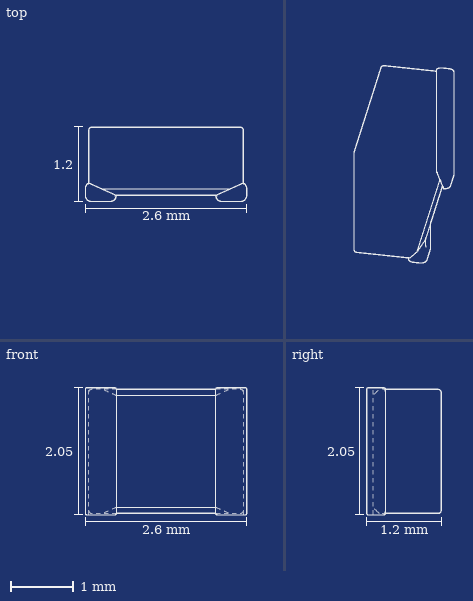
import cadquery as cq
import math


overall_length = 2.6
overall_depth = 1.2
overall_height = 2.05

side_step = 0.055
end_step = 0.025
standoff = 0.1
body_length = overall_length - 2 * side_step
body_depth = overall_depth - standoff
body_height = overall_height - 2 * end_step
front_chamfer = 0.1
body_edge_radius = 0.05

terminal_width = 0.5
terminal_depth = 0.3
terminal_corner_radius = 0.1
terminal_edge_radius = end_step
shoulder_rise = math.sqrt(terminal_corner_radius**2 - (terminal_corner_radius - side_step) ** 2)
shoulder_start = terminal_depth - shoulder_rise


def make_body_block():
    """Block with chamfered front edges and rounded back and side edges."""
    block = cq.Workplane("XY").box(body_length, body_depth, body_height)
    block = block.translate((0, standoff + body_depth / 2, 0))
    block = block.faces("<Y").edges("|X").chamfer(front_chamfer)
    return block.edges("|Y or >Y").fillet(body_edge_radius)


def make_terminal(side):
    """Wedge-shaped bar along Z; side is -1 for the -X end and +1 for the +X end."""
    outer_x = -overall_length / 2
    inner_x = outer_x + terminal_width
    body_side_x = outer_x + side_step
    radius = terminal_corner_radius
    profile = (
        cq.Workplane("XY", origin=(0, 0, -overall_height / 2))
        .moveTo(outer_x + radius, 0)
        .lineTo(inner_x - radius, 0)
        .tangentArcPoint((inner_x, radius), relative=False)
        .lineTo(body_side_x, terminal_depth)
        .radiusArc((outer_x, shoulder_start), -radius)
        .lineTo(outer_x, radius)
        .tangentArcPoint((outer_x + radius, 0), relative=False)
        .close()
    )
    terminal = profile.extrude(overall_height)
    terminal = terminal.faces("<Z or >Z").edges().fillet(terminal_edge_radius)
    if side > 0:
        terminal = terminal.mirror("YZ")
    return terminal


terminals = [make_terminal(side) for side in (-1, 1)]

body = make_body_block()
for terminal in terminals:
    body = body.cut(terminal)

result = cq.Compound.makeCompound([body.val(), *[terminal.val() for terminal in terminals]])